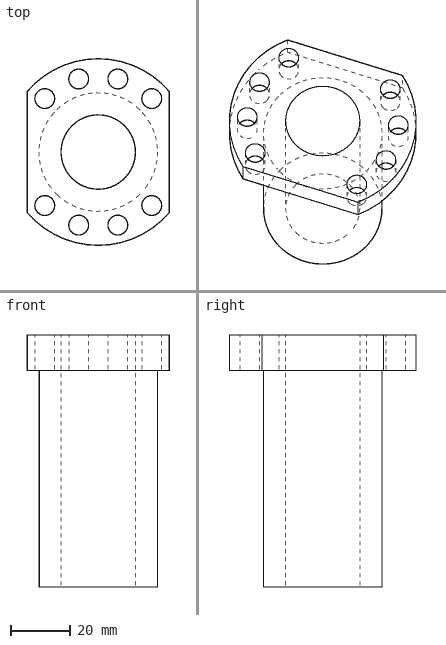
import cadquery as cq

total_length = 85.0
flange_diameter = 63.0
flange_width = 48.0
flange_thickness = 12.0
body_diameter = 40.0
bore_diameter = 25.0

bolt_hole_diameter = 6.6
bolt_circle_radius = 25.5
bolt_group_size = 4
bolt_pitch_angle = 30.0
bolt_group_centres = (90.0, 270.0)

body_length = total_length - flange_thickness
bolt_group_span = (bolt_group_size - 1) * bolt_pitch_angle


def make_body():
    """Cylindrical nut body standing on the XY plane."""
    return cq.Workplane("XY").circle(body_diameter / 2).extrude(body_length)


def make_flange():
    """Round flange on top of the body, cut to two flats facing -X and +X."""
    disc = (
        cq.Workplane("XY", origin=(0, 0, body_length))
        .circle(flange_diameter / 2)
        .extrude(flange_thickness)
    )
    flats = (
        cq.Workplane("XY", origin=(0, 0, body_length))
        .rect(flange_width, flange_diameter)
        .extrude(flange_thickness)
    )
    return disc.intersect(flats)


def make_bore():
    """Through bore along the full length."""
    return cq.Workplane("XY").circle(bore_diameter / 2).extrude(total_length)


def make_bolt_group(centre_angle):
    """Bolt holes through the flange, spread evenly about centre_angle."""
    first_angle = centre_angle - bolt_group_span / 2
    return (
        cq.Workplane("XY", origin=(0, 0, body_length))
        .polarArray(bolt_circle_radius, first_angle, bolt_group_span, bolt_group_size)
        .circle(bolt_hole_diameter / 2)
        .extrude(flange_thickness)
    )


result = make_body().union(make_flange()).cut(make_bore())
for group_centre in bolt_group_centres:
    result = result.cut(make_bolt_group(group_centre))